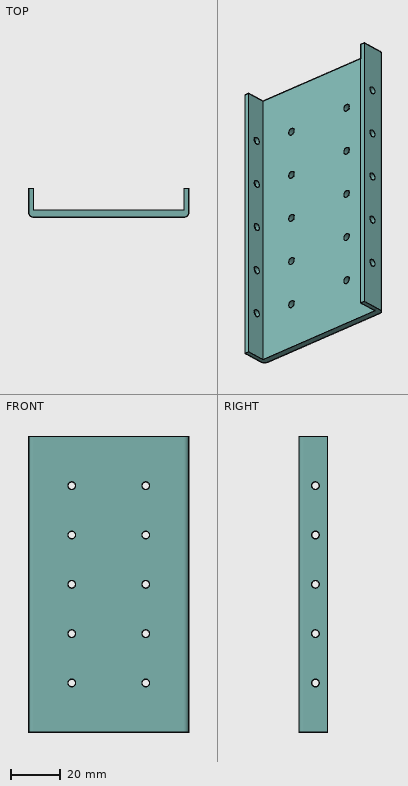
import cadquery as cq

WIDTH = 65.0
DEPTH = 11.75
HEIGHT = 120.0

FLANGE_THICKNESS = 2.0
WEB_THICKNESS = 3.0
CORNER_RADIUS = 2.0

HOLE_DIAMETER = 3.0
ROW_COUNT = 5
ROW_PITCH = 20.0
WEB_COLUMN_SPACING = 30.0
FLANGE_HOLE_FROM_FREE_EDGE = 5.0

FREE_EDGE_Y = DEPTH / 2


def channel():
    """U-shaped channel with the web on the -Y side and rounded outer corners."""
    block = cq.Workplane("XY").box(WIDTH, DEPTH, HEIGHT)
    block = block.edges("|Z and <Y").fillet(CORNER_RADIUS)
    inner_width = WIDTH - 2 * FLANGE_THICKNESS
    inner_depth = DEPTH - WEB_THICKNESS
    inside = (
        cq.Workplane("XY")
        .box(inner_width, inner_depth, HEIGHT)
        .translate((0, FREE_EDGE_Y - inner_depth / 2, 0))
    )
    return block.cut(inside)


def row_heights():
    """Z positions of the hole rows."""
    first_row = -ROW_PITCH * (ROW_COUNT - 1) / 2
    return [first_row + row * ROW_PITCH for row in range(ROW_COUNT)]


def web_holes():
    """Cutters along Y for the two columns of holes in the web."""
    column_positions = (-WEB_COLUMN_SPACING / 2, WEB_COLUMN_SPACING / 2)
    centres = [(x, z) for x in column_positions for z in row_heights()]
    return (
        cq.Workplane("XZ")
        .pushPoints(centres)
        .circle(HOLE_DIAMETER / 2)
        .extrude(DEPTH / 2, both=True)
    )


def flange_holes():
    """Cutters along X for the column of holes through both flanges."""
    hole_y = FREE_EDGE_Y - FLANGE_HOLE_FROM_FREE_EDGE
    centres = [(hole_y, z) for z in row_heights()]
    return (
        cq.Workplane("YZ")
        .pushPoints(centres)
        .circle(HOLE_DIAMETER / 2)
        .extrude(WIDTH / 2, both=True)
    )


result = channel().cut(web_holes()).cut(flange_holes())